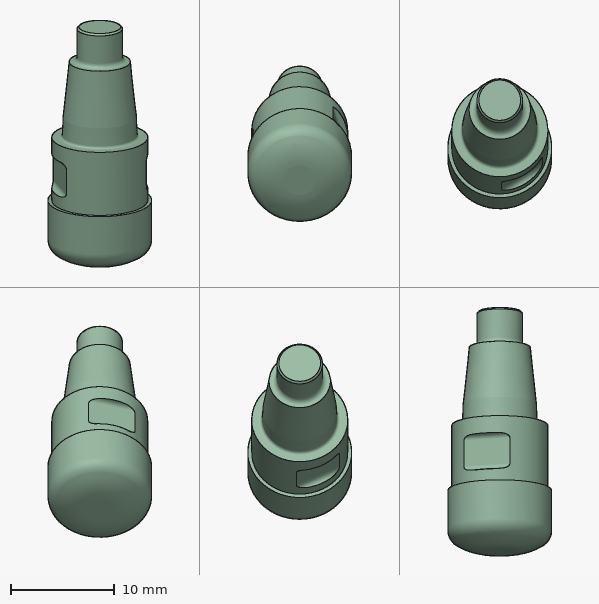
import cadquery as cq
import math

TOTAL_HEIGHT = 23.6
CORNER_TOP_Z = 2.1
CAP_TOP_Z = 6.02
SHOULDER_Z = 12.41
TAPER_START_Z = 14.47
TAPER_TOP_Z = 20.08

CAP_RADIUS = 10.0 / 2
BODY_RADIUS = 9.25 / 2
STEM_BASE_RADIUS = 3.6
TAPER_START_RADIUS = 3.55
TAPER_TOP_RADIUS = 2.95
TIP_RADIUS = 4.4 / 2

CAP_CORNER_RADIUS = 1.5
CROWN_RADIUS = 5.0
SHOULDER_FILLET = 0.28
TIP_FILLET = 0.5
TIP_CHAMFER = 0.2

FLAT_DISTANCE = 8.0
FLAT_BOTTOM_Z = 7.22
FLAT_TOP_Z = 10.75
FLAT_FILLET = 0.5

DIAGONAL = math.sqrt(0.5)


def revolve_profile(profile):
    """Revolve a closed radius-height profile about the Z axis."""
    return profile.close().revolve(360, (0, 0, 0), (0, 1, 0))


def concave_quarter(profile, start_radius, start_z, size):
    """Add a concave fillet that runs inward and up from a flat shoulder."""
    inset = size * (1 - DIAGONAL)
    middle = (start_radius - size + inset, start_z + inset)
    end = (start_radius - size, start_z + size)
    return profile.threePointArc(middle, end)


def arc_point(center_radius, center_z, arc_radius, angle):
    """Point on a downward-bulging arc, with the angle measured from straight down."""
    return center_radius + arc_radius * math.sin(angle), center_z - arc_radius * math.cos(angle)


def make_cap():
    """Solid cap with a flat bottom, a crowned rim and a rounded corner, all tangent."""
    corner_center = CAP_RADIUS - CAP_CORNER_RADIUS
    center_rise = CROWN_RADIUS - CORNER_TOP_Z
    center_shift = math.sqrt((CROWN_RADIUS - CAP_CORNER_RADIUS) ** 2 - center_rise**2)
    bottom_flat_radius = corner_center - center_shift
    joint_angle = math.atan2(center_shift, center_rise)
    corner_angle = (joint_angle + math.pi / 2) / 2

    crown_middle = arc_point(bottom_flat_radius, CROWN_RADIUS, CROWN_RADIUS, joint_angle / 2)
    crown_end = arc_point(bottom_flat_radius, CROWN_RADIUS, CROWN_RADIUS, joint_angle)
    corner_middle = arc_point(corner_center, CORNER_TOP_Z, CAP_CORNER_RADIUS, corner_angle)
    profile = (
        cq.Workplane("XZ")
        .moveTo(0, 0)
        .lineTo(bottom_flat_radius, 0)
        .threePointArc(crown_middle, crown_end)
        .threePointArc(corner_middle, (CAP_RADIUS, CORNER_TOP_Z))
        .lineTo(CAP_RADIUS, CAP_TOP_Z)
        .lineTo(0, CAP_TOP_Z)
    )
    return revolve_profile(profile)


def make_flat_cutter(turn):
    """Block that cuts one wrench flat, turned about Z from the +Y side by an angle in degrees."""
    depth = BODY_RADIUS
    return (
        cq.Workplane("XY")
        .box(2 * BODY_RADIUS, depth, FLAT_TOP_Z - FLAT_BOTTOM_Z)
        .edges("|X and <Y")
        .fillet(FLAT_FILLET)
        .translate((0, (FLAT_DISTANCE + depth) / 2, (FLAT_BOTTOM_Z + FLAT_TOP_Z) / 2))
        .rotate((0, 0, 0), (0, 0, 1), turn)
    )


def make_spindle():
    """Stepped spindle: body with flats, tapered stem and cylindrical tip."""
    profile = (
        cq.Workplane("XZ")
        .moveTo(0, CAP_TOP_Z)
        .lineTo(BODY_RADIUS, CAP_TOP_Z)
        .lineTo(BODY_RADIUS, SHOULDER_Z)
        .lineTo(STEM_BASE_RADIUS + SHOULDER_FILLET, SHOULDER_Z)
    )
    profile = concave_quarter(profile, STEM_BASE_RADIUS + SHOULDER_FILLET, SHOULDER_Z, SHOULDER_FILLET)
    profile = (
        profile.lineTo(TAPER_START_RADIUS, TAPER_START_Z)
        .lineTo(TAPER_TOP_RADIUS, TAPER_TOP_Z)
        .lineTo(TIP_RADIUS + TIP_FILLET, TAPER_TOP_Z)
    )
    profile = concave_quarter(profile, TIP_RADIUS + TIP_FILLET, TAPER_TOP_Z, TIP_FILLET)
    profile = (
        profile.lineTo(TIP_RADIUS, TOTAL_HEIGHT - TIP_CHAMFER)
        .lineTo(TIP_RADIUS - TIP_CHAMFER, TOTAL_HEIGHT)
        .lineTo(0, TOTAL_HEIGHT)
    )
    spindle = revolve_profile(profile)
    for turn in (0, 180):
        spindle = spindle.cut(make_flat_cutter(turn))
    return spindle


cap = make_cap()
spindle = make_spindle()

result = cq.Compound.makeCompound([cap.val(), spindle.val()])